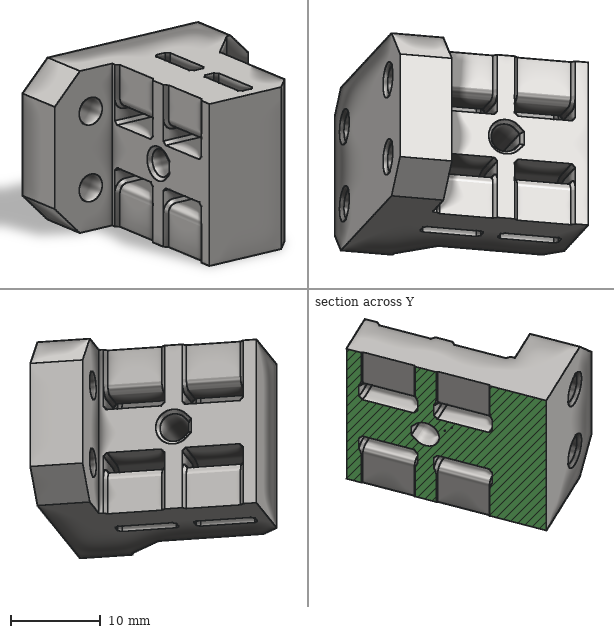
import cadquery as cq
import math

plate_width = 27.0
height = 19.0
plate_thickness = 6.0
plate_front_chamfer = 3.5
plate_back_chamfer = 2.5

length = 24.0
block_front_setback = 8.0
block_front_y = -plate_width / 2 + block_front_setback
block_depth = 12.0
block_back_y = block_front_y + block_depth
gusset_size = 4.0
block_corner_chamfer = 2.0

hole_diameter = 3.2
hole_radius = hole_diameter / 2
hole_chamfer = 0.4
plate_hole_spacing_y = 18.0
plate_hole_spacing_z = 9.0
plate_holes_center_y = 0.5

cross_hole_x = 14.5
cross_hole_flat = 1.67

tie_width = 7.0
tie_thickness = 2.0
tie_pitch = 9.0
tie_edge_chamfer = 0.4
tie_inner_reach = 5.0
tie_bend_diameter = 5.8
tie_outer_radius = tie_bend_diameter / 2
tie_inner_radius = tie_outer_radius - tie_thickness
tie_recess_depth = 0.4
tie_lip_fillet = 1.0

overshoot = 1.35


def make_plate():
    """Rectangular plate with large chamfers front and back."""
    plate = cq.Workplane("XY").box(
        plate_thickness, plate_width, height, centered=(False, True, True)
    )
    plate = plate.edges("|X and <Y").chamfer(plate_front_chamfer)
    return plate.edges("|X and >Y").chamfer(plate_back_chamfer)


def make_block():
    """Full-height block with a 45 degree gusset and a cut corner behind."""
    outline = [
        (0, block_front_y),
        (length, block_front_y),
        (length, block_back_y - block_corner_chamfer),
        (length - block_corner_chamfer, block_back_y),
        (plate_thickness + gusset_size, block_back_y),
        (plate_thickness, block_back_y + gusset_size),
        (0, block_back_y + gusset_size),
    ]
    return cq.Workplane("XY").polyline(outline).close().extrude(height / 2, both=True)


def make_plate_hole_cutter():
    """Four round holes along X, countersunk on the outer plate face."""
    points = [
        (plate_holes_center_y + side_y * plate_hole_spacing_y / 2, side_z * plate_hole_spacing_z / 2)
        for side_y in (-1, 1)
        for side_z in (-1, 1)
    ]
    mouths = cq.Workplane("YZ").pushPoints(points)
    bores = mouths.circle(hole_radius).extrude(length)
    countersinks = mouths.circle(hole_radius + hole_chamfer).extrude(hole_chamfer, taper=45)
    return bores.union(countersinks)


def teardrop_sketch(workplane, radius, flat_distance):
    """Circle whose +X side runs along 45 degree tangents to a short flat."""
    tangent = radius * math.sqrt(0.5)
    flat_half_length = radius * math.sqrt(2) - flat_distance
    return (
        workplane.moveTo(tangent, tangent)
        .threePointArc((-radius, 0), (tangent, -tangent))
        .lineTo(flat_distance, -flat_half_length)
        .lineTo(flat_distance, flat_half_length)
        .close()
    )


def make_cross_hole_cutter():
    """Teardrop hole along Y through the block, countersunk at the front."""
    mouth = cq.Workplane("XZ", origin=(cross_hole_x, block_front_y, 0))
    bore = teardrop_sketch(mouth, hole_radius, cross_hole_flat).extrude(-block_depth)
    countersink = teardrop_sketch(
        mouth, hole_radius + hole_chamfer, cross_hole_flat + hole_chamfer
    ).extrude(-hole_chamfer, taper=45)
    return bore.union(countersink)


def make_tie_cutter(center_x):
    """Channel turning from the top face out through a shallow front recess."""
    top_z = height / 2
    open_top_z = top_z + overshoot
    open_front_y = block_front_y - overshoot
    recess_floor_y = block_front_y + tie_recess_depth
    inner_y = recess_floor_y + tie_inner_reach
    outer_y = inner_y + tie_thickness
    inner_z = top_z - tie_inner_reach
    outer_z = inner_z - tie_thickness

    profile = (
        cq.Workplane("YZ", origin=(center_x, 0, 0))
        .moveTo(inner_y, open_top_z)
        .lineTo(outer_y, open_top_z)
        .lineTo(outer_y, outer_z + tie_outer_radius)
        .tangentArcPoint((outer_y - tie_outer_radius, outer_z), relative=False)
        .lineTo(open_front_y, outer_z)
        .lineTo(open_front_y, open_top_z)
        .lineTo(recess_floor_y, open_top_z)
        .lineTo(recess_floor_y, inner_z + tie_lip_fillet)
        .tangentArcPoint((recess_floor_y + tie_lip_fillet, inner_z), relative=False)
        .lineTo(inner_y - tie_inner_radius, inner_z)
        .tangentArcPoint((inner_y, inner_z + tie_inner_radius), relative=False)
        .close()
    )
    channel = profile.extrude(tie_width / 2, both=True)
    return channel.faces("<X or >X").edges().chamfer(tie_edge_chamfer)


result = make_plate().union(make_block())
result = result.cut(make_plate_hole_cutter())
result = result.cut(make_cross_hole_cutter())

for side in (-1, 1):
    tie_cutter = make_tie_cutter(cross_hole_x + side * tie_pitch / 2)
    result = result.cut(tie_cutter).cut(tie_cutter.mirror("XY"))